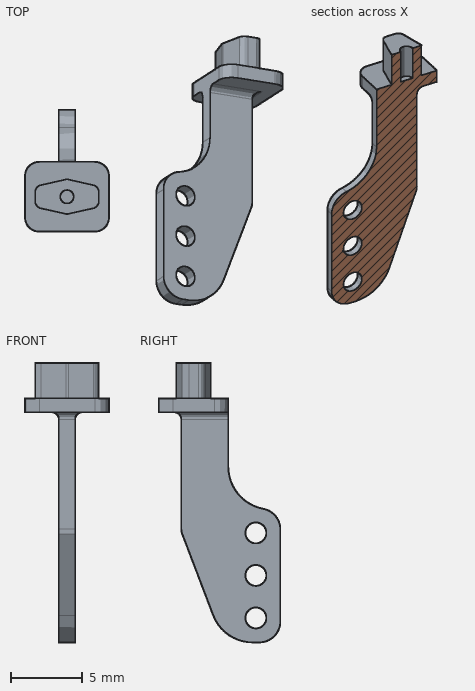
import cadquery as cq
import math


flange_width = 5.93
flange_depth = 4.92
flange_thickness = 0.98
flange_corner_radius = 1.0

boss_width = 4.47
boss_depth = 2.46
boss_height = 2.5
boss_end_depth = 1.45
boss_end_radius = 0.5
boss_middle_radius = 0.4
boss_hole_diameter = 0.95

total_height = 19.7
arm_thickness = 1.16
arm_front_y = -0.87
arm_back_y = flange_depth / 2
arm_bottom_z = flange_thickness + boss_height - total_height
root_fillet = 0.5
bend_z = -8.4
bend_radius = 1.0
neck_radius = 3.0
toe_radius = 3.0
toe_center_y = 4.18
lug_back_y = 6.13
lug_radius = 1.5
lug_center_y = lug_back_y - lug_radius
lug_top_z = -8.25

hole_diameter = 1.45
hole_spacing = 3.0
hole_count = 3
hole_y = 4.4
hole_bottom_margin = 1.73
bottom_hole_z = arm_bottom_z + hole_bottom_margin


def point_on_circle(center, radius, angle):
    return (center[0] + radius * math.cos(angle), center[1] + radius * math.sin(angle))


def make_flange():
    flange = cq.Workplane("XY").rect(flange_width, flange_depth).extrude(flange_thickness)
    return flange.edges("|Z").fillet(flange_corner_radius)


def make_boss():
    half_width = boss_width / 2
    half_depth = boss_depth / 2
    half_end = boss_end_depth / 2
    boss = (
        cq.Workplane("XY", origin=(0, 0, flange_thickness))
        .moveTo(0, half_depth)
        .lineTo(half_width, half_end)
        .lineTo(half_width, -half_end)
        .lineTo(0, -half_depth)
        .lineTo(-half_width, -half_end)
        .lineTo(-half_width, half_end)
        .close()
        .extrude(boss_height)
    )
    boss = boss.edges("|Z and (<X or >X)").fillet(boss_end_radius)
    boss = boss.edges("|Z and (<Y or >Y)").fillet(boss_middle_radius)
    return boss.faces(">Z").workplane().hole(boss_hole_diameter, boss_height)


def make_arm():
    neck_y = arm_back_y + neck_radius
    center_distance = neck_radius + lug_radius
    neck_z = lug_top_z + math.sqrt(center_distance**2 - (neck_y - lug_center_y) ** 2)
    neck_center = (neck_y, neck_z)
    lug_center = (lug_center_y, lug_top_z)
    lug_angle = math.atan2(neck_z - lug_top_z, neck_y - lug_center_y)
    neck_end = point_on_circle(lug_center, lug_radius, lug_angle)
    neck_middle = point_on_circle(neck_center, neck_radius, (math.pi + lug_angle + math.pi) / 2)
    lug_middle = point_on_circle(lug_center, lug_radius, lug_angle / 2)

    toe_center = (toe_center_y, arm_bottom_z + toe_radius)
    bend_dy = arm_front_y - toe_center[0]
    bend_dz = bend_z - toe_center[1]
    toe_angle = math.atan2(bend_dz, bend_dy) + math.acos(toe_radius / math.hypot(bend_dy, bend_dz))
    toe_end = point_on_circle(toe_center, toe_radius, toe_angle)
    toe_middle = point_on_circle(toe_center, toe_radius, (toe_angle + 3 * math.pi / 2) / 2)

    heel_center = (lug_center_y, arm_bottom_z + lug_radius)
    heel_middle = point_on_circle(heel_center, lug_radius, -math.pi / 4)
    arm = (
        cq.Workplane("YZ")
        .moveTo(arm_front_y, 0)
        .lineTo(arm_back_y, 0)
        .lineTo(arm_back_y, neck_z)
        .threePointArc(neck_middle, neck_end)
        .threePointArc(lug_middle, (lug_back_y, lug_top_z))
        .lineTo(lug_back_y, heel_center[1])
        .threePointArc(heel_middle, (lug_center_y, arm_bottom_z))
        .lineTo(toe_center_y, arm_bottom_z)
        .threePointArc(toe_middle, toe_end)
        .lineTo(arm_front_y, bend_z)
        .close()
        .extrude(arm_thickness / 2, both=True)
    )
    bend_edge = cq.selectors.NearestToPointSelector((0, arm_front_y, bend_z))
    arm = arm.edges(bend_edge).fillet(bend_radius)
    hole_places = [(hole_y, bottom_hole_z + i * hole_spacing) for i in range(hole_count)]
    holes = (
        cq.Workplane("YZ")
        .pushPoints(hole_places)
        .circle(hole_diameter / 2)
        .extrude(arm_thickness, both=True)
    )
    return arm.cut(holes)


def fillet_arm_root(body):
    middle_y = (arm_front_y + arm_back_y) / 2
    root_places = [
        (0, arm_front_y, 0),
        (arm_thickness / 2, middle_y, 0),
        (-arm_thickness / 2, middle_y, 0),
    ]
    root_edges = body.edges(cq.selectors.NearestToPointSelector(root_places[0]))
    for place in root_places[1:]:
        root_edges = root_edges.add(body.edges(cq.selectors.NearestToPointSelector(place)))
    return root_edges.fillet(root_fillet)


result = fillet_arm_root(make_flange().union(make_arm())).union(make_boss())